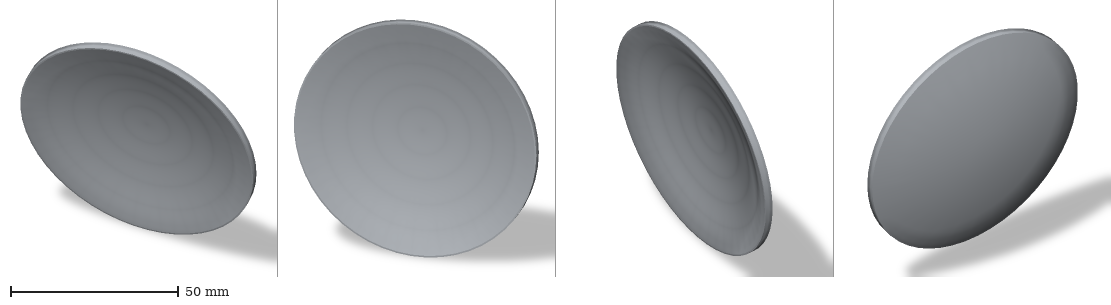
import math

import cadquery as cq

OUTER_DIAMETER = 76.0
OVERALL_DEPTH = 10.0
OUTER_SPHERE_RADIUS = 100.0
WALL_THICKNESS = 2.5

outer_radius = OUTER_DIAMETER / 2
inner_sphere_radius = OUTER_SPHERE_RADIUS - WALL_THICKNESS
sphere_centre_y = OVERALL_DEPTH - OUTER_SPHERE_RADIUS
hollow_depth = OVERALL_DEPTH - WALL_THICKNESS

hollow_radius = math.sqrt(inner_sphere_radius**2 - sphere_centre_y**2)


def point_on_sphere(sphere_radius, x):
    """Point of a spherical face's profile at distance x from the axis."""
    return x, sphere_centre_y + math.sqrt(sphere_radius**2 - x**2)


def dish():
    """Domed disc with a straight cylindrical rim, revolved about Y from its half section."""
    half_section = (
        cq.Workplane("XY")
        .moveTo(hollow_radius, 0)
        .lineTo(outer_radius, 0)
        .lineTo(*point_on_sphere(OUTER_SPHERE_RADIUS, outer_radius))
        .threePointArc(point_on_sphere(OUTER_SPHERE_RADIUS, outer_radius / 2), (0, OVERALL_DEPTH))
        .lineTo(0, hollow_depth)
        .threePointArc(point_on_sphere(inner_sphere_radius, hollow_radius / 2), (hollow_radius, 0))
        .close()
    )
    return half_section.revolve(360, (0, 0, 0), (0, 1, 0))


result = dish()